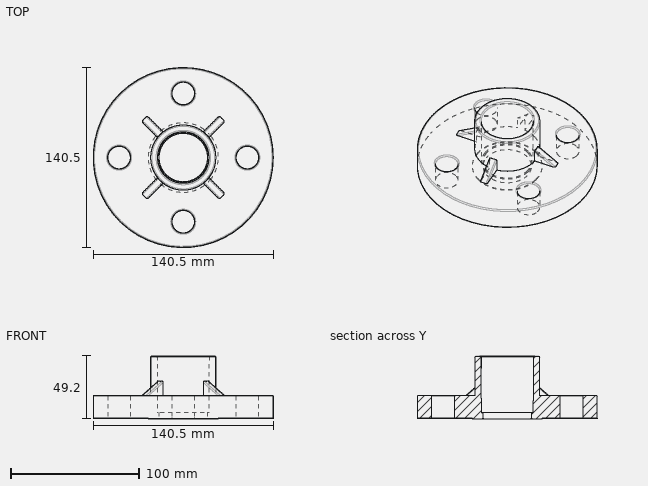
import cadquery as cq

flange_diameter = 140.5
flange_thickness = 18.0
edge_radius = 1.0

face_diameter = 54.5
face_height = 0.5

overall_height = 49.2
hub_diameter = 50.9
bore_diameter = 37.8
mouth_diameter = 40.6
socket_diameter = 40.0
socket_floor = 5.0

bolt_hole_diameter = 17.5
bolt_circle_radius = 50.0
bolt_hole_count = 4

rib_width = 6.2
rib_reach = 42.9
rib_height = 11.0
rib_count = 4
rib_overlap = 2.8

flange_top = face_height + flange_thickness
hub_radius = hub_diameter / 2


def make_disc():
    """Disc with its bolt holes; the upper rim and the hole rims share one rounding."""
    disc = (
        cq.Workplane("XY")
        .workplane(offset=face_height)
        .circle(flange_diameter / 2)
        .extrude(flange_thickness)
    )
    bolt_holes = (
        cq.Workplane("XY")
        .polarArray(bolt_circle_radius, 0, 360, bolt_hole_count)
        .circle(bolt_hole_diameter / 2)
        .extrude(flange_top)
    )
    return disc.cut(bolt_holes).faces(">Z").edges().fillet(edge_radius)


def make_sealing_face():
    return cq.Workplane("XY").circle(face_diameter / 2).extrude(face_height)


def make_hub():
    return cq.Workplane("XY").circle(hub_radius).extrude(overall_height)


def make_rib(angle):
    """Triangular rib with rounded sloping edges, sunk slightly into the hub and the disc."""
    slope = rib_height / (rib_reach - hub_radius)
    inner_radius = hub_radius - rib_overlap
    outer_radius = rib_reach + rib_overlap
    rib_top = flange_top + rib_height + slope * rib_overlap
    rib_bottom = flange_top - slope * rib_overlap
    profile = [(inner_radius, rib_bottom), (outer_radius, rib_bottom), (inner_radius, rib_top)]
    rib = (
        cq.Workplane("XZ")
        .polyline(profile)
        .close()
        .extrude(rib_width / 2, both=True)
    )
    slope_direction = cq.Vector(slope, 0, 1)
    rib = rib.faces(cq.selectors.DirectionMinMaxSelector(slope_direction, True)).edges("not |Y")
    rib = rib.fillet(edge_radius)
    return rib.rotate((0, 0, 0), (0, 0, 1), angle)


def make_socket():
    """Through bore below a tapered socket, as one revolved cut."""
    bore_radius = bore_diameter / 2
    profile = [
        (0, 0),
        (bore_radius, 0),
        (bore_radius, socket_floor),
        (socket_diameter / 2, socket_floor),
        (mouth_diameter / 2, overall_height),
        (0, overall_height),
    ]
    return cq.Workplane("XZ").polyline(profile).close().revolve(360, (0, 0), (0, 1))


result = make_disc().union(make_sealing_face()).union(make_hub())
for rib_index in range(rib_count):
    result = result.union(make_rib((rib_index + 0.5) * 360 / rib_count))
result = result.cut(make_socket())

result = result.faces(">Z").edges().fillet(edge_radius)